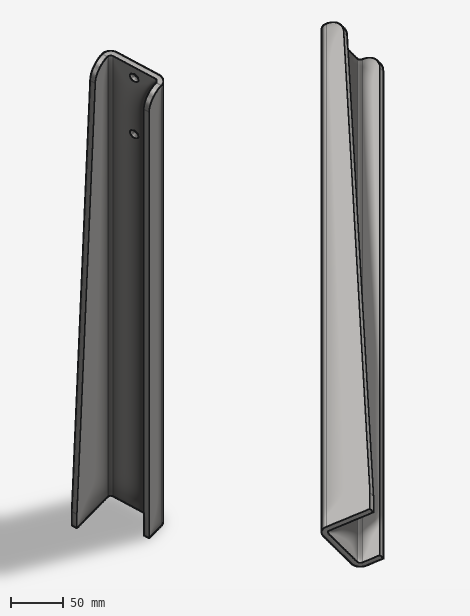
import cadquery as cq

length = 627.0
width = 70.0
long_flange_depth = 60.0
short_flange_depth = 30.0

thickness = 6.0
outer_bend_radius = 10.0
inner_bend_radius = outer_bend_radius - thickness

corner_radius = short_flange_depth - outer_bend_radius
straight_foot_height = 20.0

hole_diameter = 10.0
top_hole_offset = 15.0
hole_pitch = 80.0

back_y = long_flange_depth / 2
short_edge_y = back_y - short_flange_depth
long_edge_y = back_y - long_flange_depth
corner_start_z = length - corner_radius


def make_channel():
    """Full-depth U channel with concentric rounded bends."""
    outer = (
        cq.Workplane("XY")
        .box(width, long_flange_depth, length, centered=(True, True, False))
        .edges("|Z and >Y")
        .fillet(outer_bend_radius)
    )
    inner = (
        cq.Workplane("XY")
        .box(width - 2 * thickness, long_flange_depth, length, centered=(True, True, False))
        .edges("|Z and >Y")
        .fillet(inner_bend_radius)
        .translate((0, -thickness, 0))
    )
    return outer.cut(inner)


def flange_envelope(bottom_edge_y, start_x):
    """Half-width block with the flange's side outline and a rounded top corner."""
    return (
        cq.Workplane("YZ", origin=(start_x, 0, 0))
        .moveTo(back_y, 0)
        .lineTo(bottom_edge_y, 0)
        .lineTo(bottom_edge_y, straight_foot_height)
        .lineTo(short_edge_y, corner_start_z)
        .radiusArc((short_edge_y + corner_radius, length), corner_radius)
        .lineTo(back_y, length)
        .close()
        .extrude(width / 2)
    )


def make_holes():
    """Drills through the web, one below the other on the centre line."""
    top_hole_z = length - top_hole_offset
    return (
        cq.Workplane("XZ", origin=(0, back_y, 0))
        .pushPoints([(0, top_hole_z), (0, top_hole_z - hole_pitch)])
        .circle(hole_diameter / 2)
        .extrude(thickness)
    )


tapered_side = flange_envelope(long_edge_y, -width / 2)
short_side = flange_envelope(short_edge_y, 0)
result = make_channel().intersect(tapered_side.union(short_side)).cut(make_holes())